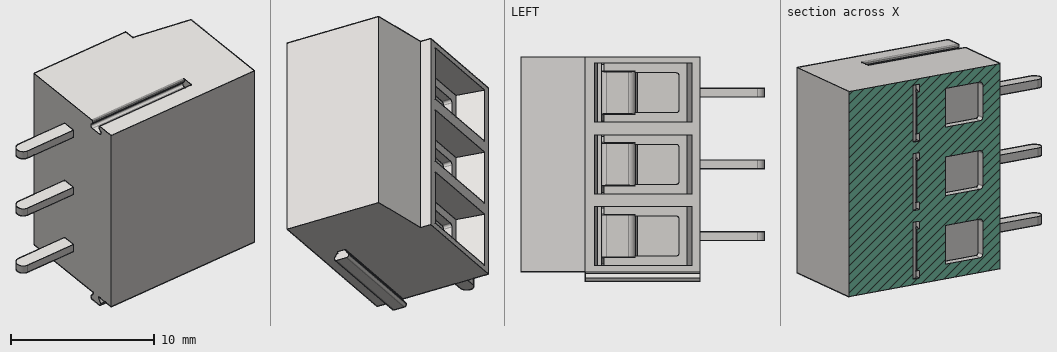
import cadquery as cq

poles = 3
pitch = 5.0
body_width = 9.0
body_length = 12.5
body_height = poles * pitch
step_length = 8.0
step_inset = 0.82
back_inset = 1.6

pin_length = 4.5
pin_width = 1.02
pin_thickness = 0.63
pin_x = 4.1
pin_root_overlap = 0.17

dovetail_x = 7.2
groove_neck = 0.76
groove_width = 1.15
groove_depth = 0.7
groove_neck_depth = 0.22
groove_wide_depth = 0.46
rail_neck = 0.65
rail_width = 1.15
rail_height = 0.68
rail_neck_depth = 0.1
rail_wide_depth = 0.45
dovetail_round = 0.17
groove_lip_round = 0.08

pocket_height = 4.11
pocket_front = 0.55
pocket_front_inner = 0.9
pocket_back = 7.35
pocket_back_inner = 7.15
pocket_taper_depth = 0.75
pocket_depth = 2.1

slot_depth = 2.31
ledge_front = 6.88
slot_front = 6.7
ridge_drop = 1.02
ridge_foot_height = 3.91

bar_front = 4.5
bar_back = ledge_front
bar_base_height = 3.03
bar_face_height = 2.9
bar_rise = 0.37
bar_front_round = 0.5
bar_back_round = 0.37
bar_root_overlap = 0.17

recess_front = 1.46
recess_back = 4.54
recess_back_inner = 4.35
recess_height = 2.79
recess_depth = 0.68
recess_corner_round = 0.2


def prism_along_z(points, z_center, height):
    """Extrude an XY outline symmetrically about a height."""
    outline = cq.Workplane("XY").workplane(offset=z_center - height / 2).polyline(points).close()
    return outline.extrude(height)


def extrude_mirrored_along_y(upper_side, y_start, y_end, z_center):
    """Extrude an XZ outline that is symmetric about a height, given its upper half."""
    lower_side = [(x, -z) for x, z in reversed(upper_side)]
    outline = cq.Workplane("XZ", origin=(0, y_start, z_center)).polyline(upper_side + lower_side).close()
    return outline.extrude(y_start - y_end)


def make_body():
    points = [
        (0, 0),
        (body_width, 0),
        (body_width, body_length),
        (back_inset, body_length),
        (step_inset, step_length),
        (0, step_length),
    ]
    return prism_along_z(points, body_height / 2, body_height)


def make_dovetail(z_face, neck, width, depth, neck_depth, wide_depth):
    """Dovetail bar hanging down from a horizontal face, with rounded lower edges."""
    half_neck = neck / 2
    half_width = width / 2
    right_side = [
        (half_neck, 0),
        (half_neck, -neck_depth),
        (half_width, -wide_depth),
        (half_width, -depth),
    ]
    left_side = [(-x, z) for x, z in reversed(right_side)]
    profile = cq.Workplane("XZ", origin=(dovetail_x, 0, z_face)).polyline(right_side + left_side).close()
    return profile.extrude(-step_length).edges("|Y and <Z").fillet(dovetail_round)


def make_pin(z_center):
    radius = pin_width / 2
    pin = cq.Workplane("XY", origin=(pin_x, 0, z_center - pin_thickness / 2))
    pin = pin.moveTo(-radius, pin_root_overlap).lineTo(-radius, radius - pin_length)
    pin = pin.threePointArc((0, -pin_length), (radius, radius - pin_length))
    return pin.lineTo(radius, pin_root_overlap).close().extrude(pin_thickness)


def make_pocket(z_center):
    points = [
        (0, pocket_front),
        (pocket_depth, pocket_front_inner),
        (pocket_depth, pocket_back_inner),
        (pocket_taper_depth, pocket_back_inner),
        (0, pocket_back),
    ]
    return prism_along_z(points, z_center, pocket_height)


def make_slot(z_center):
    """Slot along the pocket back: a flat ledge, then a floor with steep flanks beside the clamp bar."""
    ledge_length = pocket_back_inner - ledge_front
    ledge = cq.Workplane("XY", origin=(0, ledge_front, z_center))
    ledge = ledge.box(slot_depth, ledge_length, pocket_height, centered=(False, False, True))
    upper_side = [
        (0, pocket_height / 2),
        (slot_depth + ridge_drop, pocket_height / 2),
        (slot_depth + ridge_drop, ridge_foot_height / 2),
        (slot_depth, bar_base_height / 2),
    ]
    ridge_cut = extrude_mirrored_along_y(upper_side, slot_front, ledge_front, z_center)
    return ledge.union(ridge_cut)


def make_recess(z_center):
    deep = pocket_depth + recess_depth
    points = [
        (pocket_depth, recess_front),
        (deep, recess_front),
        (deep, recess_back_inner),
        (pocket_depth, recess_back),
    ]
    recess = prism_along_z(points, z_center, recess_height)
    return recess.edges("|X and <Y").fillet(recess_corner_round)


def make_clamp_bar(z_center):
    """Bar with drafted sides and rounded ends, rooted below the slot floor."""
    face = pocket_depth - bar_rise
    root = slot_depth + bar_root_overlap
    draft = (bar_base_height - bar_face_height) / bar_rise
    root_height = bar_face_height + draft * (root - face)
    upper_side = [(face, bar_face_height / 2), (root, root_height / 2)]
    bar = extrude_mirrored_along_y(upper_side, bar_front, bar_back, z_center)
    bar = bar.faces("<X").edges("<Y").fillet(bar_front_round)
    return bar.faces("<X").edges(">Y").fillet(bar_back_round)


def cut_dovetail_groove(body):
    """Cut the groove into the top face and round its two lips."""
    groove = make_dovetail(
        body_height, groove_neck, groove_width, groove_depth, groove_neck_depth, groove_wide_depth
    )
    half_neck_depth = groove_neck_depth / 2
    lips = cq.selectors.BoxSelector(
        (dovetail_x - groove_neck, 0, body_height - half_neck_depth),
        (dovetail_x + groove_neck, step_length, body_height + half_neck_depth),
    )
    return body.cut(groove).edges("|Y").edges(lips).fillet(groove_lip_round)


result = cut_dovetail_groove(make_body())
result = result.union(make_dovetail(0, rail_neck, rail_width, rail_height, rail_neck_depth, rail_wide_depth))

for pole in range(poles):
    pole_z = (pole + 0.5) * pitch
    result = result.cut(make_pocket(pole_z)).cut(make_slot(pole_z)).cut(make_recess(pole_z))
    result = result.union(make_clamp_bar(pole_z)).union(make_pin(pole_z))